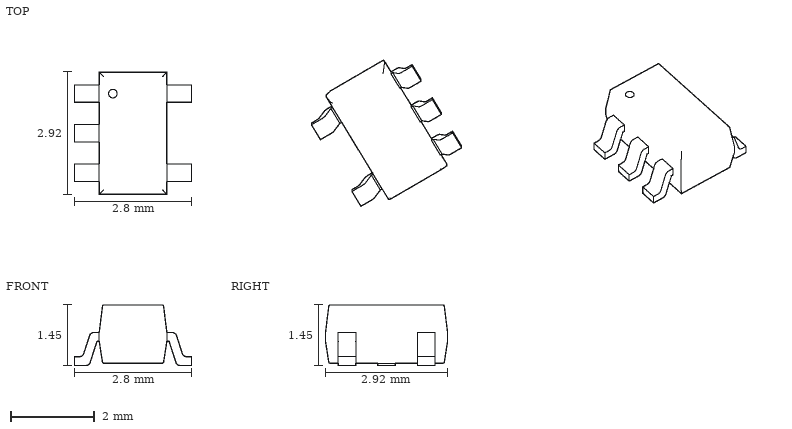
import cadquery as cq
import math

body_length = 2.92
body_width = 1.62
body_bottom = 0.055
body_top = 1.45
taper_inset = 0.082
edge_radius = 0.045

mark_diameter = 0.205
mark_depth = 0.205
mark_x = -0.482

lead_span = 2.8
lead_width = 0.423
lead_thickness = 0.215
lead_top = 0.795
lead_pitch = 0.945
lead_slope = math.radians(18)
knee_x = 0.858
shoulder_radius = 0.115
heel_radius = 0.115
instep_radius = 0.1

lead_bottom = lead_top - lead_thickness
band_bottom = lead_bottom
band_top = lead_top


def tapered_block(base_z, end_z):
    """Block from the band's outline at base_z to the inset outline at end_z."""
    height = end_z - base_z
    taper_angle = math.degrees(math.atan(taper_inset / abs(height)))
    return (
        cq.Workplane("XY", origin=(0, 0, base_z))
        .rect(body_width, body_length)
        .extrude(height, taper=taper_angle)
    )


def make_housing():
    band = (
        cq.Workplane("XY", origin=(0, 0, band_bottom))
        .rect(body_width, body_length)
        .extrude(band_top - band_bottom)
    )
    upper = tapered_block(band_top, body_top).faces(">Z").edges().fillet(edge_radius)
    lower = tapered_block(band_bottom, body_bottom).faces("<Z").edges().fillet(edge_radius)
    mark = (
        cq.Workplane("XY", origin=(mark_x, lead_pitch, body_top))
        .circle(mark_diameter / 2)
        .extrude(-mark_depth)
    )
    return band.union(upper).union(lower).cut(mark)


def make_lead(side, y):
    """One lead centred at y, on the +X (side = 1) or -X (side = -1) face."""
    root_x = body_width / 2
    tip_x = lead_span / 2

    def inner_x(z):
        return knee_x + (lead_bottom - z) * math.tan(lead_slope)

    def outer_x(z):
        return inner_x(z) + lead_thickness / math.cos(lead_slope)

    shoulder = (outer_x(lead_top), lead_top)
    instep = (outer_x(lead_thickness), lead_thickness)
    heel = (inner_x(0), 0)
    outline = [
        (root_x, lead_top),
        shoulder,
        instep,
        (tip_x, lead_thickness),
        (tip_x, 0),
        heel,
        (knee_x, lead_bottom),
        (root_x, lead_bottom),
    ]
    lead = (
        cq.Workplane("XZ", origin=(0, lead_width / 2, 0))
        .polyline(outline)
        .close()
        .extrude(lead_width)
    )
    for (x, z), radius in (
        (shoulder, shoulder_radius),
        (instep, instep_radius),
        (heel, heel_radius),
    ):
        lead = lead.edges(cq.NearestToPointSelector((x, 0, z))).fillet(radius)
    if side < 0:
        lead = lead.mirror("YZ")
    return lead.translate((0, y, 0))


housing = make_housing()

lead_rows = {-1: (-1, 0, 1), 1: (-1, 1)}
leads = []
for side, rows in lead_rows.items():
    for row in rows:
        leads.append(make_lead(side, row * lead_pitch).val())

result = cq.Compound.makeCompound([housing.val(), *leads])